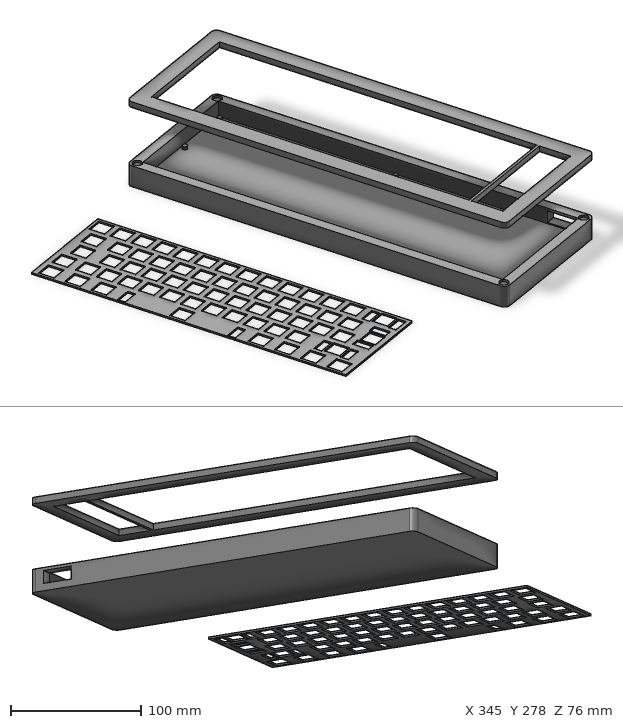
import cadquery as cq
case_length = 345.0
case_width = 126.3
case_height = 18.5
corner_radius = 5.0
overall_height = 76.0
overall_width = 278.0

wall_thickness = 9.0
floor_thickness = 5.0
cavity_length = case_length - 2 * wall_thickness
cavity_width = case_width - 2 * wall_thickness
cavity_depth = case_height - floor_thickness

socket_diameter = 8.0
socket_depth = 2.0
socket_inset = 6.0

standoff_diameter = 4.0
standoff_height = 2.8
standoff_gap = 3.8
standoff_inset = wall_thickness + standoff_gap

port_length = 25.0
port_height = 10.5
port_right_inset = 12.0
port_sill = 1.0

frame_thickness = 5.2
frame_bottom = overall_height - frame_thickness
left_rim = 13.5
right_rim = 12.5
long_rim = 14.5
bar_width = 2.5
window_width = case_width - 2 * long_rim
small_window_length = 28.3
small_window_left = case_length - right_rim - small_window_length
large_window_length = small_window_left - bar_width - left_rim

key_pitch = 19.05
key_columns = 15
key_rows = 5
plate_length = key_columns * key_pitch
plate_width = key_rows * key_pitch
plate_thickness = 1.55
plate_left = 9.5
plate_front = case_width - overall_width

switch_size = 14.0
slot_width = 7.0
slot_length = 14.5
slot_shift = 1.0
short_key_spread = 12.0
space_key_spread = 50.0

key_rows_of_runs = [
    [(0.5, 13), (14.0, 1)],
    [(0.75, 1), (2.0, 12)],
    [(0.875, 1), (2.25, 12)],
    [(0.625, 1), (1.75, 11), (13.625, 1)],
    [(0.625, 1), (1.875, 1), (3.125, 1), (6.875, 1)]
    + [(10.625, 1), (11.875, 1), (13.125, 1), (14.375, 1)],
]
backspace_key = (14.0, 4.5)
shift_key = (13.625, 1.5)
space_key = (6.875, 0.5)
enter_key = (14.375, 3.0)


def corner_box(x, y, z, length, width, height):
    """A box placed by its left, front, bottom corner."""
    return cq.Workplane("XY", origin=(x, y, z)).box(length, width, height, centered=False)


def outline_slab(bottom, thickness):
    """A slab with the rounded outline of the case."""
    slab = corner_box(0, 0, bottom, case_length, case_width, thickness)
    return slab.edges("|Z").fillet(corner_radius)


def corner_sockets():
    xs = (socket_inset, case_length - socket_inset)
    ys = (socket_inset, case_width - socket_inset)
    centers = [(x, y) for x in xs for y in ys]
    plane = cq.Workplane("XY", origin=(0, 0, case_height - socket_depth))
    return plane.pushPoints(centers).circle(socket_diameter / 2).extrude(socket_depth)


def floor_standoffs():
    middle = (case_length / 2, case_width / 2)
    xs = (standoff_inset, middle[0], case_length - standoff_inset)
    ys = (standoff_inset, middle[1], case_width - standoff_inset)
    centers = [(x, y) for x in xs for y in ys if (x, y) != middle]
    plane = cq.Workplane("XY", origin=(0, 0, floor_thickness))
    return plane.pushPoints(centers).circle(standoff_diameter / 2).extrude(standoff_height)


def make_case():
    cavity = corner_box(
        wall_thickness, wall_thickness, floor_thickness, cavity_length, cavity_width, cavity_depth
    )
    port = corner_box(
        case_length - port_right_inset - port_length,
        case_width - wall_thickness,
        floor_thickness + port_sill,
        port_length,
        wall_thickness,
        port_height,
    )
    shell = outline_slab(0, case_height).cut(cavity).cut(port).cut(corner_sockets())
    return shell.union(floor_standoffs())


def make_frame():
    frame = outline_slab(frame_bottom, frame_thickness)
    windows = [(left_rim, large_window_length), (small_window_left, small_window_length)]
    for left, length in windows:
        frame = frame.cut(
            corner_box(left, long_rim, frame_bottom, length, window_width, frame_thickness)
        )
    return frame


def plate_point(key):
    """Plate coordinates of a position given in key pitches."""
    column, row = key
    return (plate_left + column * key_pitch, plate_front + row * key_pitch)


def plate_cutter(centers, length, width):
    """Equal rectangular prisms through the plate thickness."""
    return cq.Workplane("XY").pushPoints(centers).rect(length, width).extrude(plate_thickness)


def switch_centers():
    keys = [enter_key]
    for index, runs in enumerate(key_rows_of_runs):
        row = key_rows - index - 0.5
        for first, count in runs:
            keys += [(first + step, row) for step in range(count)]
    return [plate_point(key) for key in keys]


def make_plate():
    plate = corner_box(plate_left, plate_front, 0, plate_length, plate_width, plate_thickness)
    plate = plate.cut(plate_cutter(switch_centers(), switch_size, switch_size))

    wide_keys = [
        (backspace_key, short_key_spread),
        (shift_key, short_key_spread),
        (space_key, space_key_spread),
    ]
    for key, spread in wide_keys:
        x, y = plate_point(key)
        centers = [(x + offset, y - slot_shift) for offset in (-spread, spread)]
        plate = plate.cut(plate_cutter(centers, slot_width, slot_length))

    x, y = plate_point(enter_key)
    centers = [(x - slot_shift, y + offset) for offset in (-short_key_spread, short_key_spread)]
    return plate.cut(plate_cutter(centers, slot_length, slot_width))


case = make_case()
frame = make_frame()
plate = make_plate()
result = cq.Compound.makeCompound([body.solids().val() for body in (case, frame, plate)])